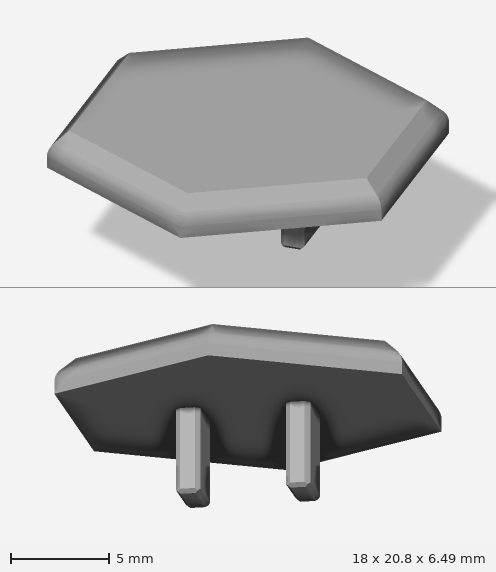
import cadquery as cq
import math

CORNER_DIAMETER = 20.78
CAP_THICKNESS = 2.0
BEVEL_RUN = 1.0
BEVEL_DROP = 0.95
SHOULDER_RADIUS = 0.94
SELECTION_MARGIN = 0.02

LEG_SPACING = 5.7
LEG_WIDTH = 1.27
LEG_DEPTH = 2.97
LEG_LENGTH = 4.49
LEG_CHAMFER_X = 0.25
LEG_CHAMFER_Y = 0.2
LEG_CHAMFER_Z = 0.2


def make_cap():
    """Hexagon with corners on Y, a bevelled top and a rounded shoulder below the bevel."""
    half_flats = CORNER_DIAMETER / 2 * math.cos(math.pi / 6)
    shoulder_height = CAP_THICKNESS - BEVEL_DROP
    cap = (
        cq.Workplane("XY")
        .polygon(6, CORNER_DIAMETER)
        .extrude(shoulder_height)
        .rotate((0, 0, 0), (0, 0, 1), 90)
    )
    top_corner_diameter = CORNER_DIAMETER * (1 - BEVEL_RUN / half_flats)
    bevel = (
        cq.Workplane("XY", origin=(0, 0, shoulder_height))
        .polygon(6, CORNER_DIAMETER)
        .workplane(offset=BEVEL_DROP)
        .polygon(6, top_corner_diameter)
        .loft(ruled=True)
        .rotate((0, 0, 0), (0, 0, 1), 90)
    )
    shoulder_edges = cq.selectors.BoxSelector(
        (-CORNER_DIAMETER, -CORNER_DIAMETER, shoulder_height - SELECTION_MARGIN),
        (CORNER_DIAMETER, CORNER_DIAMETER, shoulder_height + SELECTION_MARGIN),
    )
    return cap.union(bevel).edges(shoulder_edges).fillet(SHOULDER_RADIUS)


def end_profile(half_size, inset):
    """Side outline of a leg, chamfered at its lower end."""
    chamfer_z = LEG_CHAMFER_Z - LEG_LENGTH
    return [
        (-half_size, 0),
        (half_size, 0),
        (half_size, chamfer_z),
        (half_size - inset, -LEG_LENGTH),
        (inset - half_size, -LEG_LENGTH),
        (-half_size, chamfer_z),
    ]


def make_leg(center_x):
    """Leg with chamfered upright edges and a chamfered lower end."""
    half_width = LEG_WIDTH / 2
    half_depth = LEG_DEPTH / 2
    inner_x = half_width - LEG_CHAMFER_X
    inner_y = half_depth - LEG_CHAMFER_Y
    outline = [
        (inner_x, half_depth), (half_width, inner_y),
        (half_width, -inner_y), (inner_x, -half_depth),
        (-inner_x, -half_depth), (-half_width, -inner_y),
        (-half_width, inner_y), (-inner_x, half_depth),
    ]
    leg = cq.Workplane("XY").polyline(outline).close().extrude(-LEG_LENGTH)
    front = cq.Workplane("XZ").polyline(end_profile(half_width, LEG_CHAMFER_X)).close()
    side = cq.Workplane("YZ").polyline(end_profile(half_depth, LEG_CHAMFER_Y)).close()
    leg = leg.intersect(front.extrude(half_depth, both=True))
    leg = leg.intersect(side.extrude(half_width, both=True))
    return leg.translate((center_x, 0, 0))


result = make_cap()
for side in (-1, 1):
    result = result.union(make_leg(side * LEG_SPACING / 2))